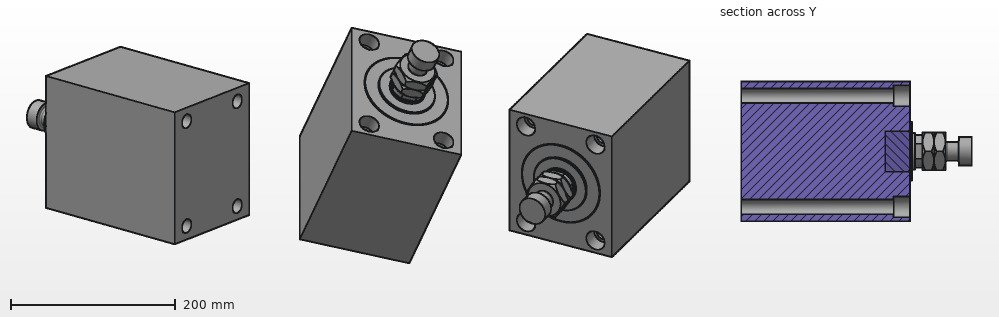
import cadquery as cq
import math


total_length = 280.0
block_length = 205.0
block_face = total_length - block_length
head_length = 15.8
neck_end = 32.1
hex_start = 31.5
hex_width = 14.4
hex_end = hex_start + 2 * hex_width

block_width = 140.0
block_height = 170.0
bolt_spacing_y = 95.0
bolt_spacing_z = 135.0
bolt_hole_dia = 17.5
counterbore_dia = 25.0
counterbore_depth = 20.0

gland_dia = 107.0
gland_depth = 30.0
gland_chamfer = 1.0
gland_boss_dia = 72.0
gland_boss_height = 2.5
gland_boss_chamfer = 0.7

rod_dia = 45.0
rod_chamfer = 0.7
rod_shoulder = 68.7
rod_neck_dia = 43.8
rod_flats = 40.0

head_dia = 35.0
neck_dia = 23.0
neck_fillet = 2.0
hex_flats = 46.0
hex_outer_face_dia = 44.6
hex_inner_face_dia = 45.9
hex_corner_dia = hex_flats / math.cos(math.pi / 6)
hex_chamfer_angle = math.radians(41)


def plane_at(x):
    """YZ workplane at station x, with local x along Y, local y along Z and the normal along +X."""
    return cq.Workplane("YZ", origin=(x, 0, 0))


def disc(x_start, x_end, diameter):
    """Cylinder on the main axis between two stations."""
    return plane_at(x_start).circle(diameter / 2).extrude(x_end - x_start)


def bolt_bores(diameter, depth):
    """Four cylinders on the bolt pattern, going into the block from its front face."""
    return (
        plane_at(block_face)
        .rect(bolt_spacing_y, bolt_spacing_z, forConstruction=True)
        .vertices()
        .circle(diameter / 2)
        .extrude(depth)
    )


def make_block():
    """Rectangular block with four counterbored through holes and a recess for the gland."""
    block = plane_at(block_face).rect(block_width, block_height).extrude(block_length)
    bolt_holes = bolt_bores(bolt_hole_dia, block_length)
    counterbores = bolt_bores(counterbore_dia, counterbore_depth)
    gland_recess = disc(block_face, block_face + gland_depth, gland_dia)
    return block.cut(bolt_holes).cut(counterbores).cut(gland_recess)


def make_gland():
    """Gland flush with the block face, with a low chamfered boss around the rod bore."""
    boss_face = block_face - gland_boss_height
    gland_end = block_face + gland_depth
    flange = disc(block_face, gland_end, gland_dia).faces("<X").chamfer(gland_chamfer)
    boss = disc(boss_face, block_face, gland_boss_dia).faces("<X").chamfer(gland_boss_chamfer)
    return flange.union(boss).cut(disc(boss_face, gland_end, rod_dia))


def make_rod():
    """Piston rod ending with the gland, with four wrench flats on its slimmer front end."""
    rod = disc(rod_shoulder, block_face + gland_depth, rod_dia).faces("<X").chamfer(rod_chamfer)
    front_length = rod_shoulder - hex_end
    front = disc(hex_end, rod_shoulder, rod_neck_dia).intersect(
        plane_at(hex_end).rect(rod_flats, rod_flats).extrude(front_length)
    )
    return rod.union(front)


def make_hex(outer_face, direction):
    """Hexagon with corners on the Y axis, running from its outer face along +X or -X.

    Cones chamfer both ends, cutting a little deeper at the outer end.
    """
    inner_face = outer_face + direction * hex_width
    corner_radius = hex_corner_dia / 2
    outer_radius = hex_outer_face_dia / 2
    inner_radius = hex_inner_face_dia / 2
    outer_cone = (corner_radius - outer_radius) * math.tan(hex_chamfer_angle)
    inner_cone = (corner_radius - inner_radius) * math.tan(hex_chamfer_angle)
    prism = plane_at(min(outer_face, inner_face)).polygon(6, hex_corner_dia).extrude(hex_width)
    envelope = (
        cq.Workplane("XY")
        .polyline([
            (outer_face, 0),
            (outer_face, outer_radius),
            (outer_face + direction * outer_cone, corner_radius),
            (inner_face - direction * inner_cone, corner_radius),
            (inner_face, inner_radius),
            (inner_face, 0),
        ])
        .close()
        .revolve(360, (0, 0, 0), (1, 0, 0))
    )
    return prism.intersect(envelope)


def make_coupling():
    """Coupling pin: head, neck filleted at both ends, and two mirrored hexagons back to back."""
    neck_radius = neck_dia / 2
    fillet_top = neck_radius + neck_fillet
    pin = (
        cq.Workplane("XY")
        .moveTo(0, 0)
        .lineTo(0, head_dia / 2)
        .lineTo(head_length, head_dia / 2)
        .lineTo(head_length, fillet_top)
        .radiusArc((head_length + neck_fillet, neck_radius), -neck_fillet)
        .lineTo(neck_end - neck_fillet, neck_radius)
        .radiusArc((neck_end, fillet_top), -neck_fillet)
        .lineTo(neck_end, 0)
        .close()
        .revolve(360, (0, 0, 0), (1, 0, 0))
    )
    for outer_face, direction in [(hex_start, 1), (hex_end, -1)]:
        pin = pin.union(make_hex(outer_face, direction))
    return pin


block = make_block()
gland = make_gland()
rod = make_rod()
coupling = make_coupling()

bodies = [block, gland, rod, coupling]
result = cq.Compound.makeCompound([body.solids().val() for body in bodies])